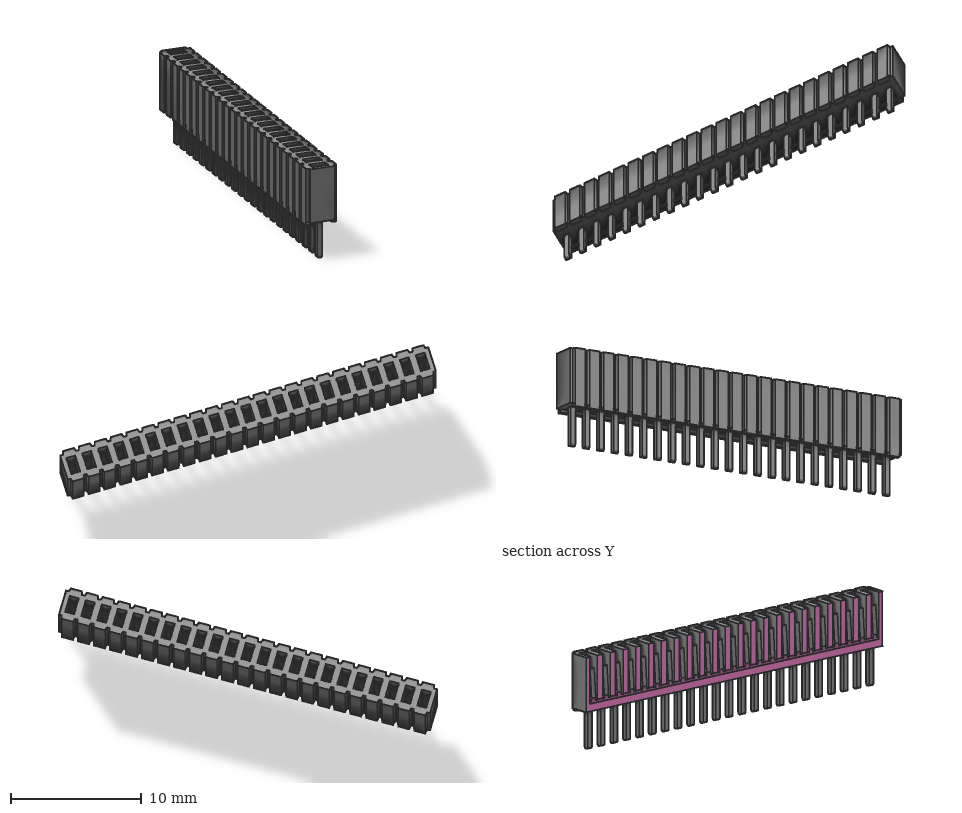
import cadquery as cq

LENGTH = 29.45
BODY_WIDTH = 2.53
TOTAL_HEIGHT = 7.48

POSITIONS = 23
END_ALLOWANCE = 0.12
PITCH = (LENGTH - 2 * END_ALLOWANCE) / POSITIONS
POSITION_XS = [(i - (POSITIONS - 1) / 2) * PITCH for i in range(POSITIONS)]

BODY_HEIGHT = 4.35
PAD_DEPTH = 0.26
CORE_WIDTH = BODY_WIDTH - 2 * PAD_DEPTH
PAD_OUTER_WIDTH = 0.88
PAD_ROOT_WIDTH = 1.05

FOOT_HEIGHT = 0.26
FOOT_DEPTH = 0.35
FOOT_WIDTH = PAD_OUTER_WIDTH

SOCKET_X = 0.7
SOCKET_Y = 1.32
SOCKET_DEPTH = 3.53

PIN_SIZE = 0.4
STRIP_THICKNESS = 0.18
STRIP_LENGTH = (POSITIONS - 1) * PITCH + SOCKET_X
LEAF_ROOT_THICKNESS = 0.2
LEAF_TIP_OUTER = 0.47
LEAF_TIP_INNER = 0.35
LEAF_GAP = 0.45
LEAF_TIP_DROP = 1.03
LEAF_FLARE = 0.103

TOP_Z = TOTAL_HEIGHT
BODY_BOTTOM_Z = TOP_Z - BODY_HEIGHT
SOCKET_FLOOR_Z = TOP_Z - SOCKET_DEPTH
PIN_TOP_Z = SOCKET_FLOOR_Z - STRIP_THICKNESS
LEAF_TIP_Z = TOP_Z - LEAF_TIP_DROP


def make_pad(x, side):
    """Tapered pad on one long side (side = 1 or -1), running the height of the body."""
    root_y = side * CORE_WIDTH / 2
    outer_y = side * BODY_WIDTH / 2
    return (
        cq.Workplane("XY", origin=(x, 0, BODY_BOTTOM_Z))
        .moveTo(-PAD_ROOT_WIDTH / 2, root_y)
        .lineTo(-PAD_OUTER_WIDTH / 2, outer_y)
        .lineTo(PAD_OUTER_WIDTH / 2, outer_y)
        .lineTo(PAD_ROOT_WIDTH / 2, root_y)
        .close()
        .extrude(BODY_HEIGHT)
    )


def make_foot(x, side):
    """Standoff foot, flush with the outer face of its pad."""
    foot_y = side * (BODY_WIDTH - FOOT_DEPTH) / 2
    return (
        cq.Workplane("XY", origin=(x, foot_y, BODY_BOTTOM_Z))
        .rect(FOOT_WIDTH, FOOT_DEPTH)
        .extrude(-FOOT_HEIGHT)
    )


def make_leaf(x, side):
    """Spring leaf leaning in to a contact ridge, then flaring out to its tip."""
    root_y = SOCKET_Y / 2
    profile = [
        (root_y, SOCKET_FLOOR_Z),
        (LEAF_TIP_OUTER, LEAF_TIP_Z),
        (LEAF_TIP_INNER, LEAF_TIP_Z),
        (LEAF_GAP / 2, LEAF_TIP_Z - LEAF_FLARE),
        (root_y - LEAF_ROOT_THICKNESS, SOCKET_FLOOR_Z),
    ]
    points = [(side * y, z) for y, z in profile]
    return cq.Workplane("YZ", origin=(x, 0, 0)).polyline(points).close().extrude(PIN_SIZE / 2, both=True)


def make_pin(x):
    """Square pin with its lower end rounded about the X axis."""
    radius = PIN_SIZE / 2
    return (
        cq.Workplane("YZ", origin=(x, 0, 0))
        .moveTo(radius, PIN_TOP_Z)
        .lineTo(radius, radius)
        .threePointArc((0, 0), (-radius, radius))
        .lineTo(-radius, PIN_TOP_Z)
        .close()
        .extrude(PIN_SIZE / 2, both=True)
    )


def make_contacts():
    """Comb of pins and springs on one carrier strip, whose top is the floor of every socket."""
    comb = (
        cq.Workplane("XY", origin=(0, 0, SOCKET_FLOOR_Z))
        .rect(STRIP_LENGTH, SOCKET_Y)
        .extrude(-STRIP_THICKNESS)
    )
    for x in POSITION_XS:
        contact = make_pin(x).union(make_leaf(x, 1)).union(make_leaf(x, -1))
        comb = comb.union(contact)
    return comb


def make_housing(contacts):
    """Housing with its sockets, cut to fit around the contacts."""
    body = cq.Workplane("XY", origin=(0, 0, BODY_BOTTOM_Z)).rect(LENGTH, CORE_WIDTH).extrude(BODY_HEIGHT)
    for x in POSITION_XS:
        for side in (1, -1):
            body = body.union(make_pad(x, side)).union(make_foot(x, side))
    sockets = (
        cq.Workplane("XY", origin=(0, 0, SOCKET_FLOOR_Z))
        .pushPoints([(x, 0) for x in POSITION_XS])
        .rect(SOCKET_X, SOCKET_Y)
        .extrude(SOCKET_DEPTH)
    )
    return body.cut(sockets).cut(contacts)


contacts = make_contacts()
housing = make_housing(contacts)

result = cq.Compound.makeCompound([housing.val(), contacts.val()])